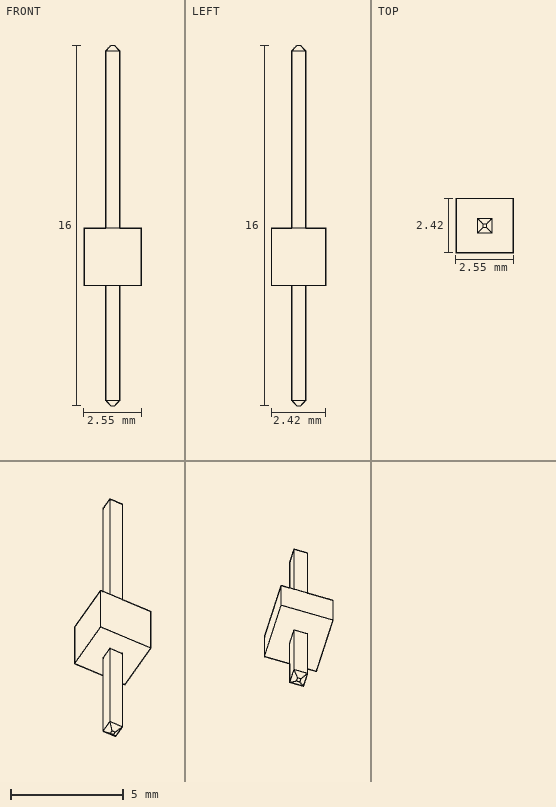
import cadquery as cq

PIN_LENGTH = 16.0
PIN_WIDTH = 0.64
TIP_LENGTH = 0.25
TIP_FLAT = 0.16

HOUSING_X = 2.55
HOUSING_Y = 2.42
HOUSING_Z = 2.55
TAIL_LENGTH = 5.35

PIN_BOTTOM = -TAIL_LENGTH
PIN_TOP = PIN_BOTTOM + PIN_LENGTH


def make_tip(base_z, end_z):
    """Square taper from the full pin width at base_z to the small flat at end_z."""
    return (
        cq.Workplane("XY", origin=(0, 0, base_z))
        .rect(PIN_WIDTH, PIN_WIDTH)
        .workplane(offset=end_z - base_z)
        .rect(TIP_FLAT, TIP_FLAT)
        .loft(ruled=True)
    )


def make_pin():
    """Square post with both tips, as one solid."""
    shaft_bottom = PIN_BOTTOM + TIP_LENGTH
    shaft_top = PIN_TOP - TIP_LENGTH
    shaft = (
        cq.Workplane("XY", origin=(0, 0, shaft_bottom))
        .rect(PIN_WIDTH, PIN_WIDTH)
        .extrude(shaft_top - shaft_bottom)
    )
    lower_tip = make_tip(shaft_bottom, PIN_BOTTOM)
    upper_tip = make_tip(shaft_top, PIN_TOP)
    return shaft.union(lower_tip).union(upper_tip)


def make_housing():
    """Block resting on Z = 0, with a square through hole that fits the pin."""
    return (
        cq.Workplane("XY")
        .rect(HOUSING_X, HOUSING_Y)
        .rect(PIN_WIDTH, PIN_WIDTH)
        .extrude(HOUSING_Z)
    )


housing = make_housing()
pin = make_pin()

result = cq.Compound.makeCompound([housing.val(), pin.val()])